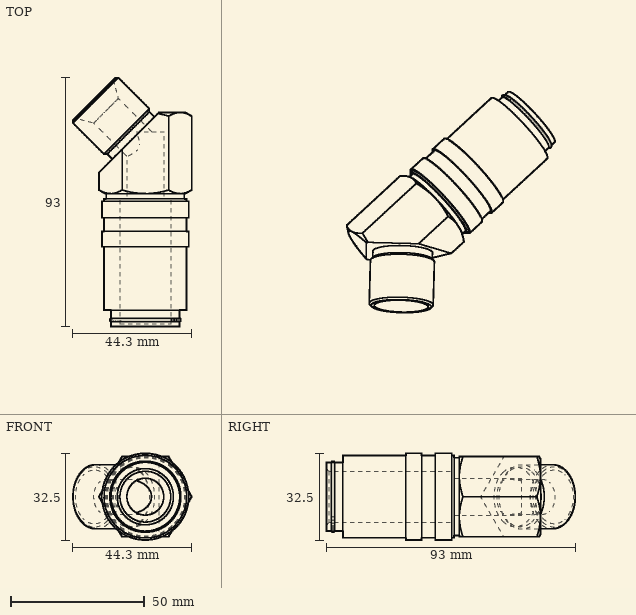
import cadquery as cq
import math


spigot_radius = 12.8
spigot_length = 6.2
ring_y = 2.5
ring_section_radius = 0.65
ring_outer_radius = 13.3

sleeve_radius = 15.4
sleeve_end = 47.7
band_diameter = 32.5
bands = ((29.8, 35.6), (40.7, 46.9))
neck_radius = 14.6

hex_start = 49.7
hex_end = 80.0
hex_across_flats = 30.05
hex_across_corners = hex_across_flats / math.cos(math.radians(30))
hex_face_radius = 15.0
hex_chamfer_angle = 30

overall_length = 93.0

elbow_y = 66.0
outlet_angle = 45
miter_distance = 6.3
outlet_radius = 12.0
outlet_tip_chamfer = 0.7
tip_face_radius = outlet_radius - outlet_tip_chamfer
outlet_length = (overall_length - elbow_y) / math.sin(math.radians(outlet_angle)) - tip_face_radius
undercut_radius = 11.2
undercut_end = 9.0

mouth_radius = 10.5
socket_radius = 9.5
socket_depth = sleeve_end
passage_radius = 6.9
passage_end = 72.85
outlet_bore_radius = 6.5
cone_mouth_radius = 10.05
cone_depth = 6.1


def cylinder(radius, start, end):
    """Cylinder around the Y axis between two Y positions."""
    direction = cq.Vector(0, 1, 0)
    return cq.Workplane(cq.Solid.makeCylinder(radius, end - start, cq.Vector(0, start, 0), direction))


def revolve_about_y(points):
    """Solid of revolution about Y from a closed (radius, Y) outline."""
    return cq.Workplane("XY").polyline(points).close().revolve(360, (0, 0), (0, 1))


def along_outlet(body):
    """Turn a body built on the Y axis from the origin onto the outlet axis."""
    return body.rotate((0, 0, 0), (0, 0, 1), outlet_angle).translate((0, elbow_y, 0))


def make_coupling():
    body = cylinder(spigot_radius, 0, spigot_length)
    body = body.union(cylinder(sleeve_radius, spigot_length, sleeve_end))
    body = body.union(cylinder(neck_radius, sleeve_end, hex_start))
    for start, end in bands:
        body = body.union(cylinder(band_diameter / 2, start, end))
    ring_centre_radius = ring_outer_radius - ring_section_radius
    ring = (
        cq.Workplane("XY")
        .center(ring_centre_radius, ring_y)
        .circle(ring_section_radius)
        .revolve(360, (-ring_centre_radius, 0), (-ring_centre_radius, 1))
    )
    return body.union(ring)


def make_hex_block():
    block = (
        cq.Workplane("XZ", origin=(0, hex_start, 0))
        .polygon(6, hex_across_corners)
        .extrude(hex_start - hex_end)
    )
    corner_radius = hex_across_corners / 2
    chamfer_height = (corner_radius - hex_face_radius) * math.tan(math.radians(hex_chamfer_angle))
    envelope = revolve_about_y([
        (0, hex_start),
        (hex_face_radius, hex_start),
        (corner_radius, hex_start + chamfer_height),
        (corner_radius, hex_end - chamfer_height),
        (hex_face_radius, hex_end),
        (0, hex_end),
    ])
    block = block.intersect(envelope)
    cutter_size = 3 * hex_across_corners
    cutter = cq.Workplane("XY").box(cutter_size, cutter_size, cutter_size)
    cutter = cutter.translate((0, miter_distance + cutter_size / 2, 0))
    return block.cut(along_outlet(cutter))


def make_outlet():
    shoulder_taper = outlet_radius - undercut_radius
    outlet = revolve_about_y([
        (0, 0),
        (undercut_radius, 0),
        (undercut_radius, undercut_end),
        (outlet_radius, undercut_end + shoulder_taper),
        (outlet_radius, outlet_length - outlet_tip_chamfer),
        (tip_face_radius, outlet_length),
        (0, outlet_length),
    ])
    root = cylinder(2 * outlet_radius, 0, miter_distance)
    return along_outlet(outlet.cut(root))


def make_coupling_bore():
    mouth_chamfer = mouth_radius - socket_radius
    return revolve_about_y([
        (0, 0),
        (mouth_radius, 0),
        (socket_radius, mouth_chamfer),
        (socket_radius, socket_depth),
        (passage_radius, socket_depth),
        (passage_radius, passage_end),
        (0, passage_end),
    ])


def make_outlet_bore():
    bore = revolve_about_y([
        (0, 0),
        (outlet_bore_radius, 0),
        (outlet_bore_radius, outlet_length - cone_depth),
        (cone_mouth_radius, outlet_length),
        (0, outlet_length),
    ])
    return along_outlet(bore)


body = make_coupling().union(make_hex_block()).union(make_outlet())
result = body.cut(make_coupling_bore()).cut(make_outlet_bore())